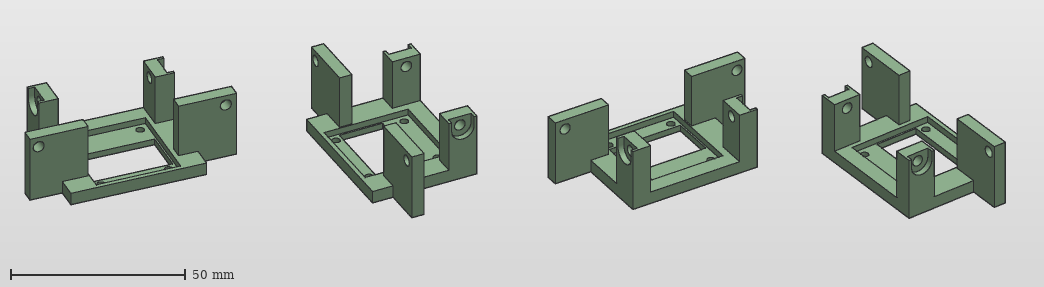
import cadquery as cq

plate_length = 33.6
plate_front = -22.0
plate_back = 20.0
plate_thickness = 4.0

pocket_left, pocket_right = 5.2, 32.2
pocket_front, pocket_back = -13.6, 12.55
pocket_depth = 2.0
window_left, window_right = 13.7, 27.6
window_front, window_back = -13.0, 12.0
screw_diameter = 2.4
screw_columns = (7.7, 29.6)
screw_rows = (-11.1, 9.9)

post_length = 9.0
post_depth = 6.0
post_height = 20.0
pivot_diameter = 3.4
pivot_x = post_length / 2
pivot_z = 17.0
recess_width = 7.2
recess_depth = 2.0

wall_left = 23.05
wall_thickness = 4.0
wall_length = 18.0
wall_height = 21.0
wall_outer_y = 32.0
wall_hole_z = 17.8
front_wall_hole_y = -29.3
back_wall_hole_y = 28.7


def block(x_range, y_range, z_range):
    """Box spanning the given (low, high) ranges."""
    sizes = [high - low for low, high in (x_range, y_range, z_range)]
    corner = (x_range[0], y_range[0], z_range[0])
    return cq.Workplane("XY").box(*sizes, centered=False).translate(corner)


def cylinder(diameter, length, start, direction):
    """Round cutter running from a start point along a direction."""
    return cq.Workplane(
        cq.Solid.makeCylinder(diameter / 2, length, cq.Vector(*start), cq.Vector(*direction))
    )


def make_plate():
    plate = block((0, plate_length), (plate_front, plate_back), (0, plate_thickness))
    pocket = block(
        (pocket_left, pocket_right),
        (pocket_front, pocket_back),
        (plate_thickness - pocket_depth, plate_thickness),
    )
    window = block((window_left, window_right), (window_front, window_back), (0, plate_thickness))
    plate = plate.cut(pocket).cut(window)
    for x in screw_columns:
        for y in screw_rows:
            plate = plate.cut(cylinder(screw_diameter, plate_thickness, (x, y, 0), (0, 0, 1)))
    return plate


def make_post(outer_y, inward):
    """Post whose outer face lies at outer_y; inward is the Y sign toward the middle."""
    inner_y = outer_y + inward * post_depth
    floor_y = outer_y + inward * recess_depth
    post_range = sorted((outer_y, inner_y))
    recess_range = sorted((outer_y, floor_y))
    post = block((0, post_length), post_range, (0, post_height))
    start = (pivot_x, outer_y, pivot_z)
    direction = (0, inward, 0)
    recess_sides = (pivot_x - recess_width / 2, pivot_x + recess_width / 2)
    post = post.cut(block(recess_sides, recess_range, (pivot_z, post_height)))
    post = post.cut(cylinder(recess_width, recess_depth, start, direction))
    return post.cut(cylinder(pivot_diameter, post_depth, start, direction))


def make_wall(outer_y, inward, hole_y):
    """Wall ending at outer_y, with one cross hole along X."""
    y_range = sorted((outer_y, outer_y + inward * wall_length))
    wall = block((wall_left, wall_left + wall_thickness), y_range, (0, wall_height))
    hole_start = (wall_left, hole_y, wall_hole_z)
    return wall.cut(cylinder(pivot_diameter, wall_thickness, hole_start, (1, 0, 0)))


result = (
    make_plate()
    .union(make_post(plate_front, 1))
    .union(make_post(plate_back, -1))
    .union(make_wall(-wall_outer_y, 1, front_wall_hole_y))
    .union(make_wall(wall_outer_y, -1, back_wall_hole_y))
)